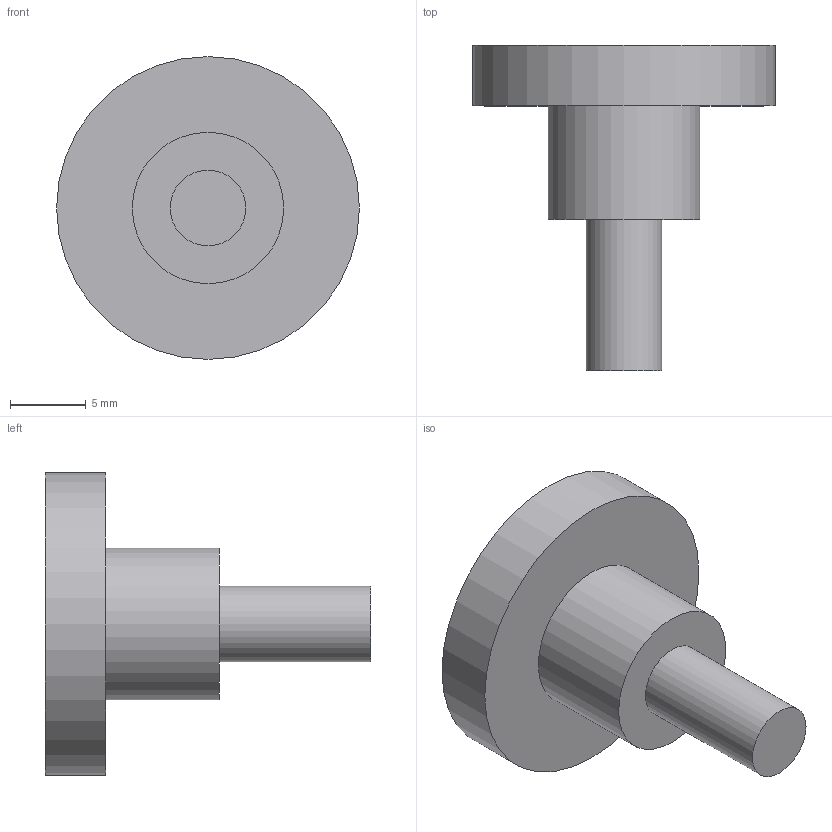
import cadquery as cq

head_diameter = 20.0
head_thickness = 4.0
hub_diameter = 10.0
hub_length = 7.5
pin_diameter = 5.0
pin_length = 10.0


def add_step(body, diameter, length):
    """Add a coaxial cylinder to the front (-Y) face of the body."""
    return body.faces("<Y").workplane().circle(diameter / 2).extrude(length)


head = cq.Workplane("XZ").circle(head_diameter / 2).extrude(head_thickness)
head_and_hub = add_step(head, hub_diameter, hub_length)
result = add_step(head_and_hub, pin_diameter, pin_length)